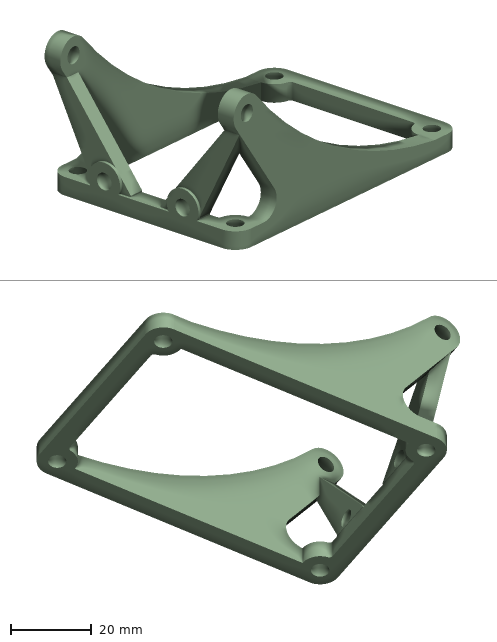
import cadquery as cq
import math

overall_width = 61.0
frame_length = 86.3
thickness = 5.0
wall_width = 5.1
corner_radius = wall_width
corner_hole_diameter = 4.6
inner_fillet = 1.0

eye_radius = 5.1
overall_height = 41.9
overall_length = 88.0
pivot_hole_diameter = 4.7

arch_mid_y = 38.0
arch_mid_z = 16.1

notch_radius = 5.0
notch_y = 9.9

strut_front = 0.9
strut_thickness = 4.4
strut_top_z = 31.6
strut_top_outer = 0.3
strut_foot_outer = 13.4
strut_foot_inner = 25.7
strut_foot_edge = 0.35
boss_inset = 17.9
boss_radius = 5.1

half_width = overall_width / 2
corner_x = half_width - corner_radius
rear_corner_y = frame_length - corner_radius
eye_y = eye_radius - (overall_length - frame_length)
eye_z = overall_height - eye_radius
boss_z = thickness + pivot_hole_diameter / 2


def on_circle(centre_y, centre_z, radius, angle):
    """Point (Y, Z) on a circle at an angle measured from +Y."""
    return (centre_y + radius * math.cos(angle), centre_z + radius * math.sin(angle))


def make_end_bar(corner_y):
    """Bar joining two round corner lugs."""
    toward_middle = 1 if corner_y < frame_length / 2 else -1
    bar_y = corner_y - toward_middle * wall_width / 2
    bar = cq.Workplane("XY").center(0, bar_y).rect(2 * corner_x, wall_width).extrude(thickness)
    lugs = (
        cq.Workplane("XY")
        .pushPoints([(-corner_x, corner_y), (corner_x, corner_y)])
        .circle(corner_radius)
        .extrude(thickness)
    )
    return bar.union(lugs)


def round_inner_corner(side, corner_y):
    """Filler for the concave corner where a lug meets the inner edge of its bar."""
    toward_middle = 1 if corner_y < frame_length / 2 else -1
    centre_offset = math.sqrt((corner_radius + inner_fillet) ** 2 - inner_fillet ** 2)
    contact = corner_radius / (corner_radius + inner_fillet)
    fillet_x = side * (corner_x - centre_offset)
    filler = (
        cq.Workplane("XY")
        .moveTo(side * corner_x, corner_y)
        .lineTo(fillet_x, corner_y)
        .lineTo(fillet_x, corner_y + toward_middle * inner_fillet)
        .lineTo(
            side * (corner_x - contact * centre_offset),
            corner_y + toward_middle * contact * inner_fillet,
        )
        .close()
        .extrude(thickness)
    )
    fillet_cut = (
        cq.Workplane("XY")
        .center(fillet_x, corner_y + toward_middle * inner_fillet)
        .circle(inner_fillet)
        .extrude(thickness)
    )
    return filler.cut(fillet_cut)


def make_side_wall(start_x):
    """Arched wall with a rounded eye at the front and a notch beneath it."""
    notch_z = thickness + notch_radius
    span = math.hypot(eye_y - notch_y, eye_z - notch_z)
    span_angle = math.atan2(eye_z - notch_z, eye_y - notch_y)
    tangent_angle = span_angle + math.acos(-(eye_radius + notch_radius) / span)
    arm_bottom = on_circle(eye_y, eye_z, eye_radius, tangent_angle)
    notch_top = on_circle(notch_y, notch_z, -notch_radius, tangent_angle)
    arm_top = on_circle(eye_y, eye_z, eye_radius, math.radians(45))
    eye_tip = on_circle(eye_y, eye_z, eye_radius, math.radians(135))
    notch_mid = on_circle(notch_y, notch_z, notch_radius, math.radians(-45))
    return (
        cq.Workplane("YZ", origin=(start_x, 0, 0))
        .moveTo(corner_radius, 0)
        .lineTo(rear_corner_y, 0)
        .lineTo(rear_corner_y, thickness)
        .lineTo(frame_length - 2 * corner_radius, thickness)
        .threePointArc((arch_mid_y, arch_mid_z), arm_top)
        .threePointArc(eye_tip, arm_bottom)
        .lineTo(*notch_top)
        .threePointArc(notch_mid, (notch_y, thickness))
        .lineTo(corner_radius, thickness)
        .close()
        .extrude(wall_width)
    )


def make_strut(side):
    """Tapered brace from the front bar up into the raised arm."""
    outline = [
        (strut_top_outer, strut_top_z),
        (wall_width, strut_top_z),
        (strut_foot_inner, thickness + strut_foot_edge),
        (strut_foot_inner, thickness),
        (strut_foot_outer, thickness),
        (strut_foot_outer, thickness + strut_foot_edge),
    ]
    return (
        cq.Workplane("XZ", origin=(0, strut_front, 0))
        .polyline([(side * (half_width - inset), z) for inset, z in outline])
        .close()
        .extrude(-strut_thickness)
    )


def make_boss(side):
    """Shallow round pad flush with the front bar, centred on the strut hole."""
    return (
        cq.Workplane("XZ")
        .center(side * (half_width - boss_inset), boss_z)
        .circle(boss_radius)
        .extrude(-strut_front)
    )


result = make_end_bar(corner_radius).union(make_end_bar(rear_corner_y))
for side in (-1, 1):
    wall_start = -half_width if side < 0 else half_width - wall_width
    result = result.union(make_side_wall(wall_start))
    result = result.union(make_strut(side)).union(make_boss(side))
    for corner_y in (corner_radius, rear_corner_y):
        result = result.union(round_inner_corner(side, corner_y))

corner_holes = (
    cq.Workplane("XY")
    .pushPoints([(x, y) for x in (-corner_x, corner_x) for y in (corner_radius, rear_corner_y)])
    .circle(corner_hole_diameter / 2)
    .extrude(thickness)
)

eye_holes = (
    cq.Workplane("YZ", origin=(-half_width, 0, 0))
    .center(eye_y, eye_z)
    .circle(pivot_hole_diameter / 2)
    .extrude(overall_width)
)

boss_x = half_width - boss_inset
boss_holes = (
    cq.Workplane("XZ")
    .pushPoints([(-boss_x, boss_z), (boss_x, boss_z)])
    .circle(pivot_hole_diameter / 2)
    .extrude(-(strut_front + strut_thickness))
)

result = result.cut(corner_holes).cut(eye_holes).cut(boss_holes)